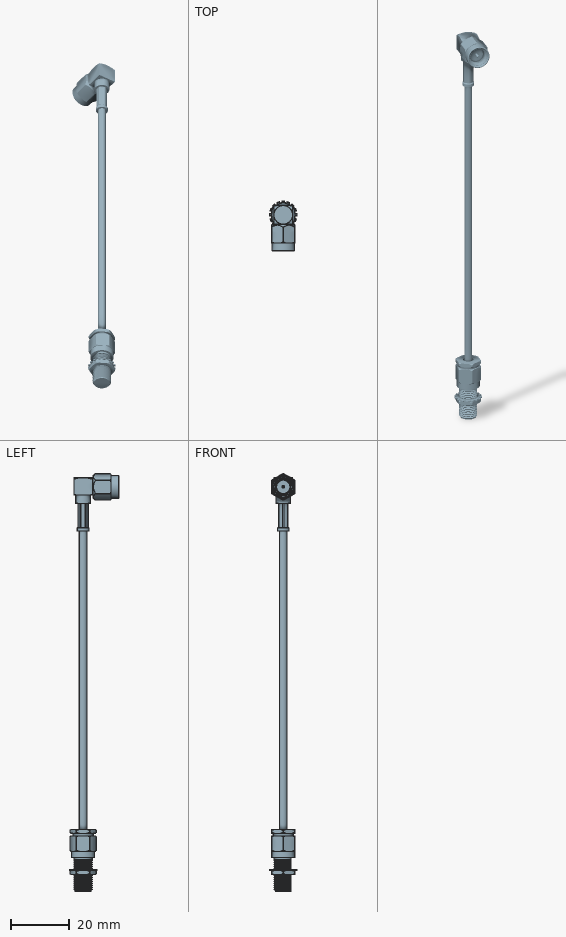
import cadquery as cq
import math


hex_flats = 7.94
hex_corners = hex_flats / math.cos(math.pi / 6)
hex_turned_diameter = 9.06
hex_bevel = 0.35
thread_major = 6.35
thread_minor = 5.44
thread_pitch = 25.4 / 36
overall_height = 142.68
overall_depth = 17.02
washer_diameter = 9.4
plug_tip_y = washer_diameter / 2 - overall_depth
jack_bottom_z = hex_turned_diameter / 2 - overall_height
cable_diameter = 2.69

elbow_width = 6.35
elbow_top_z = elbow_width / 2
elbow_corner_drop = 0.6
elbow_bottom_z = -2.75
collar_diameter = 5.08
collar_bottom_z = -5.65
sleeve_diameter = 4.57
sleeve_tip_y = -9.6
pin_diameter = 0.91
pin_tip_diameter = 0.3
pin_tip_length = 0.4
pin_length = 2.0

nut_rear_y = -3.3
nut_rear_wall = 1.2
nut_hex_length = 6.3
nut_rear_bevel_length = 0.9
nut_rear_bevel_depth = 0.75
nut_mouth_bevel = 0.4
nut_rim_diameter = 7.8
nut_rim_bevel = 0.2
nut_thread_length = 2.8

ferrule_flats = 3.3
ferrule_turned_diameter = 3.6
ferrule_corners = ferrule_flats / math.cos(math.pi / 6)
ferrule_lip_z = -13.8
ferrule_lip_diameter = 4.06
ferrule_end_z = -15.1
ferrule_lip_bevel = 0.3

jack_top_z = -117.0
rear_hex_length = 1.3
neck_length = 0.85
neck_diameter = 7.0
body_hex_length = 5.3
rim_length = 2.2
rim_diameter = 7.94
plain_thread_length = 0.6
cable_entry_diameter = 3.48
cable_entry_depth = 1.0
cable_seat_depth = 4.0
thread_flat_x = 2.67
tip_length = 0.35

washer_top_z = -130.6
washer_thickness = 0.4
washer_teeth = 16
washer_tooth_depth = 0.6
panel_nut_thickness = 1.4


def cylinder(diameter, top_z, bottom_z):
    """Round bar on the Z axis."""
    return cq.Workplane("XY").workplane(offset=bottom_z).circle(diameter / 2).extrude(top_z - bottom_z)


def hex_bar(corners, top_z, bottom_z):
    """Hexagonal bar on the Z axis with two corners on the Y axis."""
    length = top_z - bottom_z
    bar = cq.Workplane("XY").workplane(offset=bottom_z).polygon(6, corners).extrude(length)
    return bar.rotate((0, 0, 0), (0, 0, 1), 90)


def beveled_hex(top_z, bottom_z, bottom_bevel_length=hex_bevel, bottom_bevel_depth=hex_bevel):
    """Wrench hexagon with its corners turned down, ending in a cone at each end."""
    radius = hex_turned_diameter / 2
    blank = (
        cq.Workplane("XZ").moveTo(0, bottom_z)
        .lineTo(radius - bottom_bevel_depth, bottom_z)
        .lineTo(radius, bottom_z + bottom_bevel_length)
        .lineTo(radius, top_z - hex_bevel)
        .lineTo(radius - hex_bevel, top_z)
        .lineTo(0, top_z).close().revolve(360, (0, 0, 0), (0, 1, 0))
    )
    return hex_bar(hex_corners, top_z, bottom_z).intersect(blank)


def thread_rod(top_z, bottom_z):
    """Threaded rod built as a stack of V-shaped rings."""
    turns = round((top_z - bottom_z) / thread_pitch)
    pitch = (top_z - bottom_z) / turns
    profile = cq.Workplane("XZ").moveTo(0, top_z).lineTo(thread_minor / 2, top_z)
    for turn in range(turns):
        root_z = top_z - turn * pitch
        profile = profile.lineTo(thread_major / 2, root_z - pitch / 2)
        profile = profile.lineTo(thread_minor / 2, root_z - pitch)
    return profile.lineTo(0, bottom_z).close().revolve(360, (0, 0, 0), (0, 1, 0))


def to_plug_axis(shape):
    """Turn a shape built on the Z axis so that its +Z end points along -Y."""
    return shape.rotate((0, 0, 0), (1, 0, 0), 90)


def make_elbow():
    height = elbow_top_z - elbow_bottom_z
    block = (
        cq.Workplane("XY").workplane(offset=elbow_bottom_z)
        .rect(elbow_width, elbow_width).extrude(height)
    )
    outer_radius = elbow_width / 2 * math.sqrt(2)
    shoulder_z = elbow_top_z - elbow_corner_drop
    slope = (
        cq.Workplane("XY").workplane(offset=elbow_top_z).circle(elbow_width / 2)
        .workplane(offset=-elbow_corner_drop).circle(outer_radius).loft()
    )
    envelope = slope.union(cylinder(2 * outer_radius, shoulder_z, elbow_bottom_z))
    collar = cylinder(collar_diameter, elbow_bottom_z, collar_bottom_z)
    neck_end = -nut_rear_y + nut_rear_wall
    neck = cylinder(collar_diameter, neck_end, 0)
    sleeve = cylinder(sleeve_diameter, -sleeve_tip_y, neck_end)
    pin = cylinder(pin_diameter, pin_length - sleeve_tip_y, -sleeve_tip_y)
    pin = pin.faces(">Z").chamfer(pin_tip_length, (pin_diameter - pin_tip_diameter) / 2)
    barrel = to_plug_axis(neck.union(sleeve).union(pin))
    cable_seat = cylinder(cable_diameter, elbow_bottom_z, collar_bottom_z)
    return block.intersect(envelope).union(barrel).union(collar).cut(cable_seat)


def make_coupling_nut():
    rear = -nut_rear_y
    shoulder = rear + nut_hex_length
    tip = -plug_tip_y
    rim = cylinder(nut_rim_diameter, tip, shoulder).faces(">Z").chamfer(nut_rim_bevel)
    nut = beveled_hex(shoulder, rear, nut_rear_bevel_length, nut_rear_bevel_depth).union(rim)
    nut = nut.cut(cylinder(collar_diameter, tip, rear))
    thread_start = tip - nut_thread_length
    nut = nut.cut(cylinder(thread_major, thread_start, rear + nut_rear_wall))
    nut = nut.cut(thread_rod(tip, thread_start))
    mouth = (
        cq.Workplane("XY").workplane(offset=tip - nut_mouth_bevel).circle(thread_major / 2)
        .workplane(offset=nut_mouth_bevel).circle(thread_major / 2 + nut_mouth_bevel).loft()
    )
    return to_plug_axis(nut.cut(mouth))


def make_ferrule():
    ferrule = hex_bar(ferrule_corners, collar_bottom_z, ferrule_lip_z)
    ferrule = ferrule.intersect(cylinder(ferrule_turned_diameter, collar_bottom_z, ferrule_lip_z))
    lip = cylinder(ferrule_lip_diameter, ferrule_lip_z, ferrule_end_z)
    lip = lip.faces(">Z").chamfer(ferrule_lip_bevel)
    bore = cylinder(cable_diameter, collar_bottom_z, ferrule_end_z)
    return ferrule.union(lip).cut(bore)


def make_jack():
    rear_hex_end = jack_top_z - rear_hex_length
    neck_end = rear_hex_end - neck_length
    body_end = neck_end - body_hex_length
    rim_end = body_end - rim_length
    plain_end = rim_end - plain_thread_length
    thread_end = jack_bottom_z + tip_length
    tip = cylinder(thread_minor, thread_end, jack_bottom_z)
    panel_band_bottom = washer_top_z - washer_thickness - panel_nut_thickness
    jack = beveled_hex(jack_top_z, rear_hex_end)
    jack = jack.union(cylinder(neck_diameter, rear_hex_end, neck_end))
    jack = jack.union(beveled_hex(neck_end, body_end))
    jack = jack.union(cylinder(rim_diameter, body_end, rim_end))
    bushing = cylinder(thread_major, rim_end, plain_end)
    bushing = bushing.union(thread_rod(plain_end, washer_top_z))
    bushing = bushing.union(cylinder(thread_major, washer_top_z, panel_band_bottom))
    bushing = bushing.union(thread_rod(panel_band_bottom, thread_end)).union(tip)
    length = rim_end - jack_bottom_z
    flat = (
        cq.Workplane("XY").workplane(offset=jack_bottom_z)
        .center(thread_flat_x + thread_major / 2, 0).rect(thread_major, thread_major).extrude(length)
    )
    jack = jack.union(bushing.cut(flat))
    jack = jack.cut(cylinder(cable_entry_diameter, jack_top_z, jack_top_z - cable_entry_depth))
    return jack.cut(cylinder(cable_diameter, jack_top_z, jack_top_z - cable_seat_depth))


def make_lock_washer():
    bottom_z = washer_top_z - washer_thickness
    washer = cylinder(washer_diameter, washer_top_z, bottom_z)
    washer = washer.cut(cylinder(thread_major, washer_top_z, bottom_z))
    notch_width = math.pi * washer_diameter / washer_teeth / 2
    notches = (
        cq.Workplane("XY").workplane(offset=bottom_z)
        .polarArray(washer_diameter / 2, 180 / washer_teeth, 360, washer_teeth)
        .rect(2 * washer_tooth_depth, notch_width).extrude(washer_thickness)
    )
    return washer.cut(notches)


def make_panel_nut():
    top_z = washer_top_z - washer_thickness
    bottom_z = top_z - panel_nut_thickness
    return beveled_hex(top_z, bottom_z).cut(cylinder(thread_major, top_z, bottom_z))


elbow = make_elbow()
coupling_nut = make_coupling_nut()
ferrule = make_ferrule()
cable = cylinder(cable_diameter, elbow_bottom_z, jack_top_z - cable_seat_depth)
jack = make_jack()
lock_washer = make_lock_washer()
panel_nut = make_panel_nut()

result = cq.Compound.makeCompound([
    elbow.val(),
    coupling_nut.val(),
    ferrule.val(),
    cable.val(),
    jack.val(),
    lock_washer.val(),
    panel_nut.val(),
])